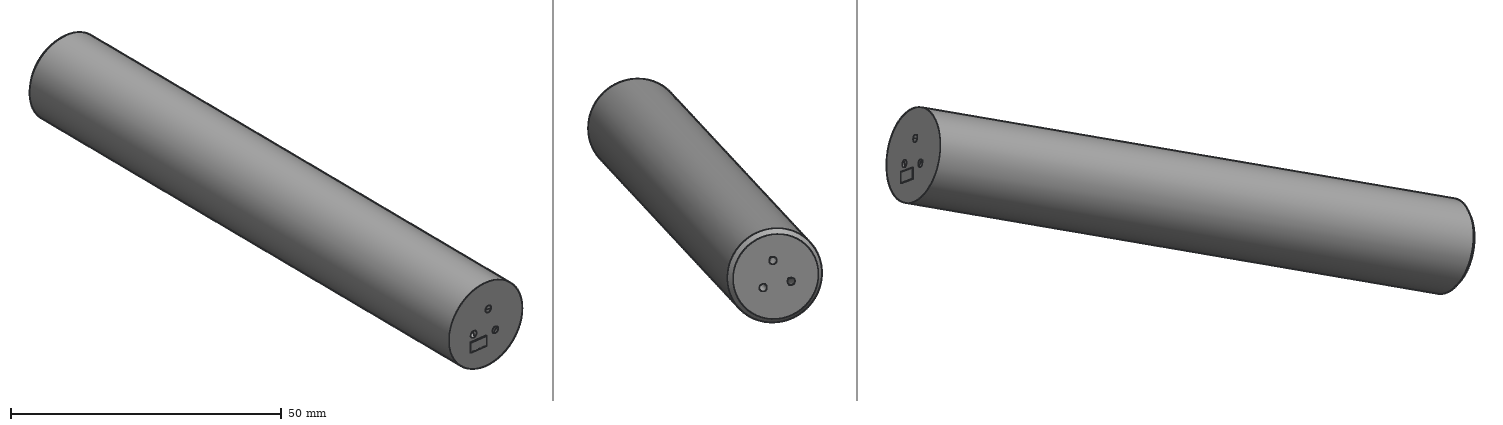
import cadquery as cq

total_length = 120.0
bar_diameter = 18.0
chamfer_size = 0.9

pad_height = 0.2
pad_width = 3.8
pad_depth = 2.2
pad_center_y = -1.9
pad_center_z = -3.5

channel_count = 3
channel_diameter = 1.5
channel_circle_radius = 3.1
channel_start_angle = 80.0
helix_pitch = 60.0

bar_length = total_length - pad_height
start_x = -total_length / 2
end_x = start_x + bar_length


def make_bar():
    """Cylinder with its -X rim chamfered."""
    bar = cq.Workplane("YZ", origin=(start_x, 0, 0)).circle(bar_diameter / 2).extrude(bar_length)
    return bar.faces("<X").chamfer(chamfer_size)


def make_channel(angle):
    """Right-handed helical channel starting at the given angle from +Y toward +Z."""
    path = cq.Wire.makeHelix(helix_pitch, bar_length, channel_circle_radius)
    channel = (
        cq.Workplane("XY")
        .center(channel_circle_radius, 0)
        .circle(channel_diameter / 2)
        .sweep(cq.Workplane(obj=path), isFrenet=True)
    )
    along_x = channel.rotate((0, 0, 0), (1, 1, 1), 120)
    return along_x.rotate((0, 0, 0), (1, 0, 0), angle).translate((start_x, 0, 0))


def make_pad():
    """Thin rectangular pad standing on the +X end face."""
    return (
        cq.Workplane("YZ", origin=(end_x, 0, 0))
        .center(pad_center_y, pad_center_z)
        .rect(pad_width, pad_depth)
        .extrude(pad_height)
    )


result = make_bar()
for index in range(channel_count):
    result = result.cut(make_channel(channel_start_angle + index * 360 / channel_count))
result = result.union(make_pad())